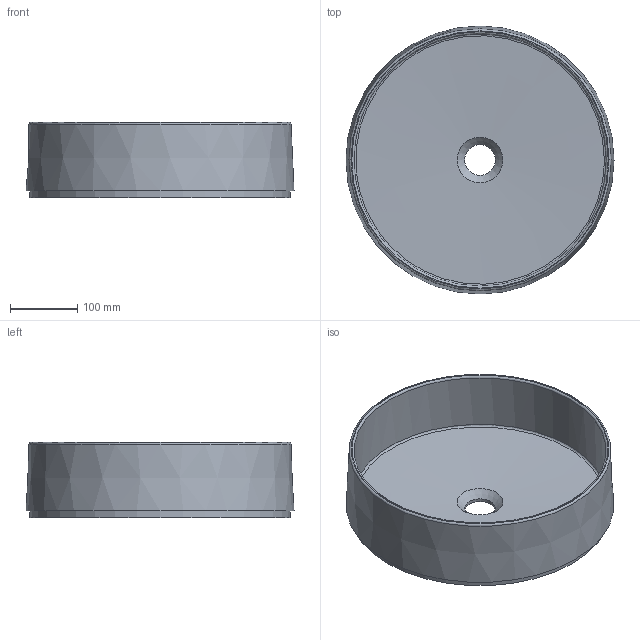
import cadquery as cq
import math

total_height = 112.0

foot_diameter = 388.02
foot_height = 10.0

body_base_diameter = 399.11
body_top_diameter = 390.0

drain_diameter = 46.0
drain_mouth_diameter = 68.0
drain_hole_depth = 5.0
drain_mouth_depth = (drain_mouth_diameter - drain_diameter) / 2
drain_mouth_height = drain_hole_depth + drain_mouth_depth

bowl_diameter = 376.02
floor_slope_angle = 2.0
floor_slope = math.tan(math.radians(floor_slope_angle))
floor_centre_height = drain_mouth_height - floor_slope * drain_mouth_diameter / 2
floor_edge_height = floor_centre_height + floor_slope * bowl_diameter / 2
floor_corner_radius = 3.0

rim_radius = 3.0


def make_foot():
    return cq.Workplane("XY").circle(foot_diameter / 2).extrude(foot_height)


def make_body():
    profile = (
        cq.Workplane("XZ")
        .moveTo(0, foot_height)
        .lineTo(body_base_diameter / 2, foot_height)
        .lineTo(body_top_diameter / 2, total_height)
        .lineTo(0, total_height)
        .close()
    )
    return profile.revolve(360, (0, 0), (0, 1))


def make_bowl():
    """Cavity of the bowl, with its floor corner rounded."""
    profile = (
        cq.Workplane("XZ")
        .moveTo(0, floor_centre_height)
        .lineTo(bowl_diameter / 2, floor_edge_height)
        .lineTo(bowl_diameter / 2, total_height)
        .lineTo(0, total_height)
        .close()
    )
    cavity = profile.revolve(360, (0, 0), (0, 1))
    floor_corner = cavity.faces("%CYLINDER").edges("<Z")
    return floor_corner.fillet(floor_corner_radius)


def make_drain():
    """Through hole and the cone that joins it to the bowl floor."""
    profile = (
        cq.Workplane("XZ")
        .lineTo(drain_diameter / 2, 0)
        .lineTo(drain_diameter / 2, drain_hole_depth)
        .lineTo(drain_mouth_diameter / 2, drain_mouth_height)
        .lineTo(0, drain_mouth_height)
        .close()
    )
    return profile.revolve(360, (0, 0), (0, 1))


shell = make_foot().union(make_body()).cut(make_bowl())
rounded_rim = shell.faces(">Z").edges().fillet(rim_radius)
result = rounded_rim.cut(make_drain())